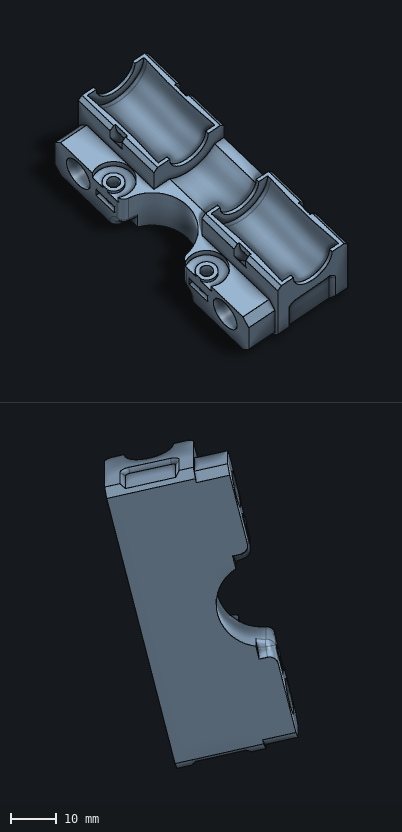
import cadquery as cq

LENGTH = 68.0
HEIGHT = 19.0
BODY_DEPTH = 20.0
SEAT_LENGTH = 25.85
TOP_CHAMFER = 1.0
CORNER_CHAMFER = 2.0
BACK_LEDGE_HEIGHT = 13.75

FLANGE_DEPTH = 7.5
FLANGE_HEIGHT = 11.9
FLANGE_END_INSET = 0.95

SEAT_END_RADIUS = 8.0
SEAT_MID_RADIUS = 7.6
SEAT_END_BAND = 1.0
SEAT_LIP = 0.9
ROD_RADIUS = 5.5
SADDLE_RADIUS = 9.0

TIE_WIDTH = 4.0
TIE_INNER_RADIUS = 8.5
TIE_OUTER_RADIUS = 10.55

POCKET_DEPTH = 1.0
POCKET_WALL_ANGLE = 45
POCKET_WIDTH = 13.3
POCKET_BACK_HEIGHT = 10.6
POCKET_FRONT_HEIGHT = 10.35
POCKET_CORNER_RADIUS = 2.0
POCKET_OFFSET_Y = -0.15

BORE_X = 25.0
BORE_Z = 6.7
BORE_DIAMETER = 5.0
COUNTERBORE_DIAMETER = 8.0

SCREW_X = 15.85
SCREW_SETBACK = 2.4
SCREW_SEAT_DIAMETER = 9.9
SCREW_SEAT_DEPTH = 1.6
RING_DIAMETER = 5.0
RING_HEIGHT = 0.8
SCREW_HOLE_DIAMETER = 3.0
SCREW_HOLE_FLOOR = 2.05
NUT_SLOT_WIDTH = 6.25
NUT_SLOT_BOTTOM = 5.1
NUT_SLOT_HEIGHT = 2.1

NOTCH_RADIUS = 10.0
NOTCH_REACH = 10.2
NOTCH_EDGE_FILLET = 2.0
RECESS_X = 9.6
RECESS_RADIUS = 2.85
RECESS_DEPTH = 3.8

body_front = -BODY_DEPTH / 2
flange_front = body_front - FLANGE_DEPTH
gap = LENGTH - 2 * SEAT_LENGTH
seat_x = (gap + SEAT_LENGTH) / 2
SIDES = (-1, 1)
TOLERANCE = 0.1


def box(x_min, x_max, y_min, y_max, z_min, z_max):
    size = (x_max - x_min, y_max - y_min, z_max - z_min)
    return cq.Workplane("XY").box(*size, centered=False).translate((x_min, y_min, z_min))


def cylinder_x(x_min, x_max, radius):
    """Cylinder on the bearing axis."""
    plane = cq.Workplane("YZ", origin=(x_min, 0, HEIGHT))
    return plane.circle(radius).extrude(x_max - x_min)


def cylinder_y(x, z, y_min, y_max, diameter):
    plane = cq.Workplane("XZ", origin=(x, y_min, z))
    return plane.circle(diameter / 2).extrude(y_min - y_max)


def cylinder_z(x, y, z_min, z_max, diameter):
    plane = cq.Workplane("XY", origin=(x, y, z_min))
    return plane.circle(diameter / 2).extrude(z_max - z_min)


def make_body():
    body = box(-LENGTH / 2, LENGTH / 2, body_front, -body_front, 0, HEIGHT)
    body = body.edges("|X and >Z").chamfer(TOP_CHAMFER)
    body = body.edges("|Y and <Z").chamfer(CORNER_CHAMFER)
    body = body.cut(box(-gap / 2, gap / 2, 0, -body_front, BACK_LEDGE_HEIGHT, HEIGHT))
    return body.cut(box(-gap / 2, gap / 2, body_front, 0, FLANGE_HEIGHT, HEIGHT))


def make_flange():
    half = LENGTH / 2 - FLANGE_END_INSET
    flange = box(-half, half, flange_front, body_front, 0, FLANGE_HEIGHT)
    return flange.edges("|Y").chamfer(CORNER_CHAMFER)


def cut_notch(part):
    """Cut the round notch and its corner recesses, then round their front edges together."""
    notch_y = flange_front + NOTCH_REACH - NOTCH_RADIUS
    part = part.cut(cylinder_z(0, notch_y, 0, FLANGE_HEIGHT, 2 * NOTCH_RADIUS))
    recess_back = flange_front + RECESS_DEPTH
    for side in SIDES:
        part = part.cut(cylinder_y(side * RECESS_X, 0, flange_front, recess_back, 2 * RECESS_RADIUS))
    reach = RECESS_X + RECESS_RADIUS + TOLERANCE
    front_edges = cq.selectors.BoxSelector(
        (-reach, flange_front - TOLERANCE, TOLERANCE),
        (reach, recess_back - TOLERANCE, FLANGE_HEIGHT - TOLERANCE),
    )
    return part.edges(front_edges).fillet(NOTCH_EDGE_FILLET)


def make_seat(side):
    """Bearing cavity with cylindrical end bands and a gently waisted middle."""
    half = SEAT_LENGTH / 2 - SEAT_LIP
    waist_half = half - SEAT_END_BAND
    profile = (
        cq.Workplane("XZ", origin=(side * seat_x, 0, HEIGHT))
        .moveTo(-half, 0)
        .lineTo(-half, -SEAT_END_RADIUS)
        .lineTo(-waist_half, -SEAT_END_RADIUS)
        .threePointArc((0, -SEAT_MID_RADIUS), (waist_half, -SEAT_END_RADIUS))
        .lineTo(half, -SEAT_END_RADIUS)
        .lineTo(half, 0)
        .close()
    )
    return profile.revolve(360, (0, 0, 0), (1, 0, 0))


def make_tie_channel(side):
    x_min = side * seat_x - TIE_WIDTH / 2
    x_max = x_min + TIE_WIDTH
    return cylinder_x(x_min, x_max, TIE_OUTER_RADIUS).cut(cylinder_x(x_min, x_max, TIE_INNER_RADIUS))


def make_end_pocket():
    """Shallow pocket in the -X end with sloping walls, open through the bottom corner chamfer."""
    half_width = POCKET_WIDTH / 2
    corners = [
        (-half_width, -POCKET_FRONT_HEIGHT),
        (half_width, -POCKET_FRONT_HEIGHT),
        (half_width, POCKET_BACK_HEIGHT),
        (-half_width, POCKET_FRONT_HEIGHT),
    ]
    outline = cq.Sketch().polygon(corners + corners[:1]).vertices().fillet(POCKET_CORNER_RADIUS)
    plane = cq.Workplane("YZ", origin=(-LENGTH / 2, POCKET_OFFSET_Y, 0))
    return plane.placeSketch(outline).extrude(POCKET_DEPTH, taper=POCKET_WALL_ANGLE)


def make_flange_bore(side):
    x = side * BORE_X
    bore = cylinder_y(x, BORE_Z, flange_front, -body_front, BORE_DIAMETER)
    return bore.union(cylinder_y(x, BORE_Z, flange_front, body_front, COUNTERBORE_DIAMETER))


def make_screw_seat(side):
    """Round pocket around a raised ring, with a blind screw hole crossing a nut slot."""
    x = side * SCREW_X
    y = flange_front + SCREW_SETBACK
    floor = FLANGE_HEIGHT - SCREW_SEAT_DEPTH
    half_slot = NUT_SLOT_WIDTH / 2
    nut_slot = box(
        x - half_slot,
        x + half_slot,
        flange_front,
        y + half_slot,
        NUT_SLOT_BOTTOM,
        NUT_SLOT_BOTTOM + NUT_SLOT_HEIGHT,
    )
    seat = cylinder_z(x, y, floor, FLANGE_HEIGHT, SCREW_SEAT_DIAMETER)
    seat = seat.cut(cylinder_z(x, y, floor, floor + RING_HEIGHT, RING_DIAMETER))
    seat = seat.union(cylinder_z(x, y, SCREW_HOLE_FLOOR, FLANGE_HEIGHT, SCREW_HOLE_DIAMETER))
    return seat.union(nut_slot)


result = cut_notch(make_body().union(make_flange()))
result = result.cut(cylinder_x(-gap / 2, gap / 2, SADDLE_RADIUS))
result = result.cut(cylinder_x(-LENGTH / 2, LENGTH / 2, ROD_RADIUS))
for side in SIDES:
    result = result.cut(make_seat(side))
    result = result.cut(make_tie_channel(side))
    result = result.cut(make_flange_bore(side))
    result = result.cut(make_screw_seat(side))
end_pocket = make_end_pocket()
result = result.cut(end_pocket).cut(end_pocket.mirror("YZ"))